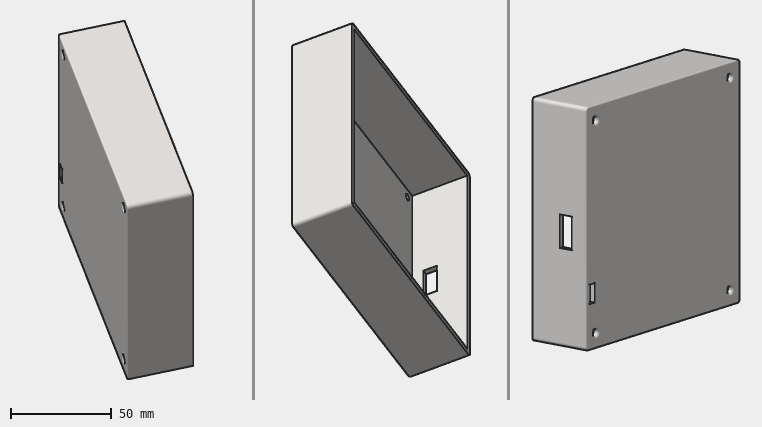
import cadquery as cq

side = 125.0
depth = 34.0
wall = 3.0
corner_radius = 2.0
front_edge_radius = 1.0

hole_inset = 8.0
hole_diameter = 3.5
mouth_radius = 1.5

front_slot_width = 4.0
front_slot_height = 10.0
front_slot_z = -33.8

side_slot_width = 7.6
side_slot_height = 17.2
side_slot_from_front = 9.2
side_slot_z = -3.4

front_y = -depth / 2


def make_shell():
    """Rounded square box with an open back."""
    outer = cq.Workplane("XY").box(side, depth, side)
    outer = outer.edges("|Y").fillet(corner_radius)
    outer = outer.faces("<Y").edges().fillet(front_edge_radius)
    inner_side = side - 2 * wall
    cavity = cq.Workplane("XY").box(inner_side, depth, inner_side).translate((0, wall, 0))
    return outer.cut(cavity)


def add_screw_holes(body):
    hole_spacing = side - 2 * hole_inset
    drilled = (
        body.faces("<Y")
        .workplane(origin=(0, front_y, 0))
        .rect(hole_spacing, hole_spacing, forConstruction=True)
        .vertices()
        .hole(hole_diameter, depth=wall)
    )
    return drilled.faces("<Y").edges("%CIRCLE").fillet(mouth_radius)


def make_front_slot():
    slot_x = -side / 2 + wall + front_slot_width / 2
    slot = cq.Workplane("XY").box(front_slot_width, 2 * wall, front_slot_height)
    return slot.translate((slot_x, front_y, front_slot_z))


def make_side_slot():
    slot_y = front_y + side_slot_from_front + side_slot_width / 2
    slot = cq.Workplane("XY").box(2 * wall, side_slot_width, side_slot_height)
    return slot.translate((-side / 2, slot_y, side_slot_z))


result = add_screw_holes(make_shell()).cut(make_front_slot()).cut(make_side_slot())